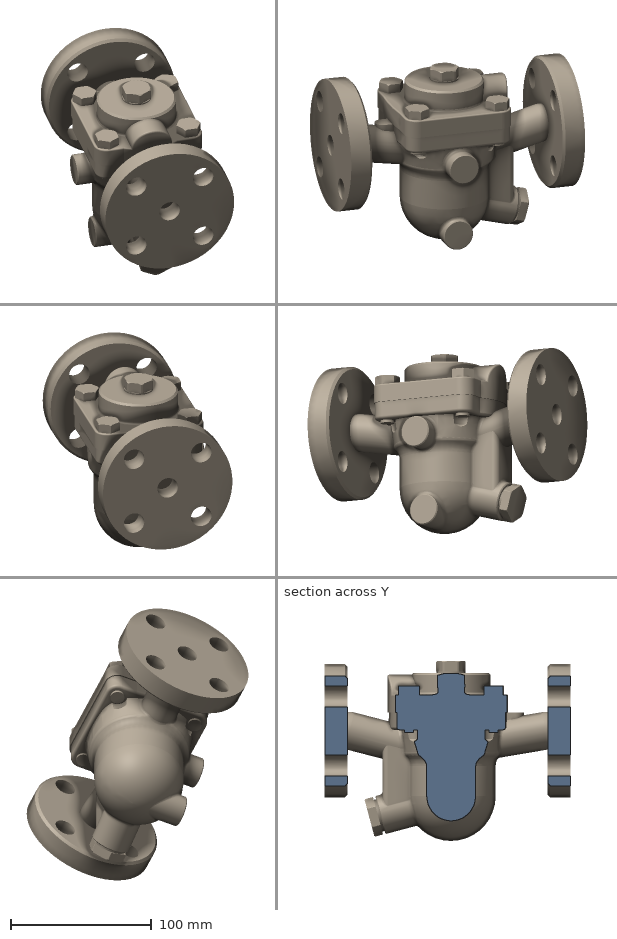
import cadquery as cq
import math

SEAM_SAMPLES = (0.1, 0.4, 0.5, 0.6, 0.9)
SEAM_TOLERANCE = 0.002


LENGTH = 175
FLANGE_DIA = 95.0
FLANGE_THICK = 16.3
FLANGE_CHAMFER = 1.8
FLANGE_HOLE_DIA = 15.0
BORE_DIA = 15.0
HOLE_SPACING = 49.4

PIPE_DIA = 27.0
PIPE_STUB = 1.5
INLET_ANGLE = 9.6
OUTLET_ANGLE = 14.5
PIPE_BLEND = 2.1

AXIS_X = -2.5
BOWL_RADIUS = 31.8
DOME_Z = -46.5
NECK_WIDTH = 71.8
NECK_CORNER = 22.8
NECK_OVERLAP = 1.8
NECK_BOTTOM_Z = -15.0
TAPER_BOTTOM_Z = -25.0
TAPER_CONVEX_RADIUS = 4.4

JOINT_Z = 13.1
BODY_FLANGE_BOTTOM_Z = 0.7
BODY_FLANGE_INSET = 0.9
BODY_FLANGE_FILLET = 2.1
PLATE_WIDTH = 79.5
PLATE_CORNER = 9.5
PLATE_TOP_Z = 25.9
PLATE_FILLET = 1.0
BOW_HALF_WIDTH = 18.7
BOW_HEIGHT = 1.0
BULGE_HALF_WIDTH = 20.0
BULGE_HEIGHT = 5.5

CAP_DIA = 56.5
CAP_TOP_Z = 41.1
CAP_CHAMFER = 1.4
CAP_BLEND = 1.5
COVER_BOSS_DIA = 30.0
COVER_BOSS_TOP_Z = 39.9
COVER_BOSS_FILLET = 1.2

PLUG_DIA = 21
PLUG_FLATS = 18.9
PLUG_NECK = 1.0
PLUG_NECK_DIA = 20.6
PLUG_TOP_Z = 49.5
BOLT_SPACING = 60.2
BOLT_DIA = 17.8
BOLT_FLATS = 15.4
BOLT_HEAD = 6.5
BOLT_SHANK_DIA = 10.0
BOLT_SHANK_END_Z = -1.2
BOLT_RELIEF_DIA = 14
BOLT_RELIEF_Z = -5.8
HEAD_CHAMFER = 0.7

PAD_DIA = 22.0
PAD_CHAMFER = 0.7
UPPER_PAD_Z = -12.0
UPPER_PAD_Y = -46.2
LOWER_PAD_Z = -66.3
LOWER_PAD_Y = -32.9
PAD_BLEND = 2.1

DRAIN_ANGLE = 15
DRAIN_DIA = 28
DRAIN_REACH = 52.0
DRAIN_CHAMFER = 0.7
DRAIN_NECK_DIA = 23.5
DRAIN_NECK = 1.8
DRAIN_HEAD_DIA = 27.6
DRAIN_HEAD_FLATS = 24.2
DRAIN_HEAD = 6.3

RIB_WIDTH = 26.2
RIB_END_X = 46.4
RIB_FILLET = 4.2
RIB_TOP_Z = -10.5
RIB_BOTTOM_Z = -53.5

LUG_WIDTH = 12.5
LUG_END_X = -54.5
LUG_BOTTOM_Z = 3.5
LUG_OVERLAP = 1.8


def cylinder(start, direction, diameter, length):
    """Cylinder from a start point along a direction."""
    return cq.Workplane(cq.Solid.makeCylinder(diameter / 2, length, cq.Vector(*start), cq.Vector(*direction)))


def hex_head(flats, diameter, height):
    """Upright hexagon head, corners trimmed to a diameter and top edge bevelled; two corners on X."""
    corners = 2 * flats / math.sqrt(3)
    trim = cq.Workplane().circle(diameter / 2).extrude(height).faces(">Z").chamfer(HEAD_CHAMFER)
    return cq.Workplane().polygon(6, corners).extrude(height).intersect(trim)


def pipe_end(side, angle):
    """Flange, and the stub and pipe sloping down to the bowl axis; side is -1 or +1 along X."""
    inner_x = LENGTH / 2 - FLANGE_THICK
    flange = cq.Workplane("YZ").circle(FLANGE_DIA / 2).extrude(FLANGE_THICK)
    flange = flange.faces("<X").edges().chamfer(FLANGE_CHAMFER)
    flange = (
        flange.faces(">X").workplane(origin=(0, 0, 0))
        .rect(HOLE_SPACING, HOLE_SPACING, forConstruction=True).vertices().hole(FLANGE_HOLE_DIA)
    )
    flange = flange.translate((inner_x, 0, 0))
    if side < 0:
        flange = flange.mirror("YZ")
    bend = (side * (inner_x - PIPE_STUB), 0, 0)
    slope = math.radians(angle)
    run = (abs(bend[0]) + side * -AXIS_X) / math.cos(slope)
    stub = cylinder(bend, (side, 0, 0), PIPE_DIA, PIPE_STUB)
    elbow = cq.Workplane().sphere(PIPE_DIA / 2).translate(bend)
    pipe = cylinder(bend, (-side * math.cos(slope), 0, -math.sin(slope)), PIPE_DIA, run)
    return flange, pipe.union(elbow).union(stub)


def bowl():
    """Neck easing from rounded square to round, S-shaped taper, cylinder and hemispherical bottom."""
    half = NECK_WIDTH / 2
    neck_height = JOINT_Z - NECK_OVERLAP - NECK_BOTTOM_Z
    square = cq.Sketch().rect(NECK_WIDTH, NECK_WIDTH).vertices().fillet(NECK_CORNER)
    neck = (
        cq.Workplane().workplane(offset=NECK_BOTTOM_Z)
        .placeSketch(cq.Sketch().circle(half), square.moved(cq.Location(cq.Vector(0, 0, neck_height))))
        .loft()
    )
    step = half - BOWL_RADIUS
    rise = NECK_BOTTOM_Z - TAPER_BOTTOM_Z
    radius_sum = (step**2 + rise**2) / (2 * step)
    convex_share = TAPER_CONVEX_RADIUS / radius_sum
    meet = (half - convex_share * step, NECK_BOTTOM_Z - convex_share * rise)
    profile = (
        cq.Workplane("XZ").moveTo(0, DOME_Z - BOWL_RADIUS)
        .radiusArc((BOWL_RADIUS, DOME_Z), -BOWL_RADIUS)
        .lineTo(BOWL_RADIUS, TAPER_BOTTOM_Z)
        .radiusArc(meet, radius_sum - TAPER_CONVEX_RADIUS)
        .radiusArc((half, NECK_BOTTOM_Z), -TAPER_CONVEX_RADIUS)
        .lineTo(0, NECK_BOTTOM_Z).close()
    )
    return profile.revolve().union(neck).rotate((0, 0, 0), (0, 0, 1), 90).translate((AXIS_X, 0, 0))


def plate(inset, bottom_z, top_z):
    """Joint plate: rounded square, bowed on the inlet side and bulged on the outlet side."""
    half = PLATE_WIDTH / 2 - inset
    height = top_z - bottom_z
    base = cq.Workplane().workplane(offset=bottom_z)
    square = (
        base.center(AXIS_X, 0).rect(2 * half, 2 * half).extrude(height)
        .edges("|Z").fillet(PLATE_CORNER - inset)
    )

    def swelling(side, half_width, swell):
        edge_x = AXIS_X + side * half
        return (
            base.moveTo(AXIS_X, -half_width).lineTo(edge_x, -half_width)
            .threePointArc((edge_x + side * swell, 0), (edge_x, half_width))
            .lineTo(AXIS_X, half_width).close().extrude(height)
        )

    bow = swelling(-1, BOW_HALF_WIDTH, BOW_HEIGHT)
    bulge = swelling(1, BULGE_HALF_WIDTH, BULGE_HEIGHT)
    return square.union(bow).union(bulge)


def cover():
    """Cover plate, round cap and the boss running from the cap to the bulge."""
    base = plate(0, JOINT_Z, PLATE_TOP_Z).faces(">Z").edges().fillet(PLATE_FILLET)
    cap = cylinder((AXIS_X, 0, JOINT_Z), (0, 0, 1), CAP_DIA, CAP_TOP_Z - JOINT_Z)
    cap = cap.faces(">Z").chamfer(CAP_CHAMFER)
    boss_z = COVER_BOSS_TOP_Z - COVER_BOSS_DIA / 2
    boss = cylinder((AXIS_X, 0, boss_z), (1, 0, 0), COVER_BOSS_DIA, PLATE_WIDTH)
    boss = boss.intersect(plate(0, JOINT_Z, CAP_TOP_Z)).faces(">X").edges().fillet(COVER_BOSS_FILLET)
    return base.union(cap).union(cap_blend()).union(boss)


def cap_blend():
    """Concave ring at the foot of the cap."""
    radius = CAP_DIA / 2
    inner = radius - CAP_BLEND
    return (
        cq.Workplane("XZ").moveTo(inner, PLATE_TOP_Z).lineTo(radius + CAP_BLEND, PLATE_TOP_Z)
        .radiusArc((radius, PLATE_TOP_Z + CAP_BLEND), CAP_BLEND)
        .lineTo(inner, PLATE_TOP_Z + CAP_BLEND).close().revolve().translate((AXIS_X, 0, 0))
    )


def pad(z, face_y):
    """Round pad from the bowl axis to a flat front face."""
    body = cylinder((AXIS_X, 0, z), (0, -1, 0), PAD_DIA, -face_y)
    return body.faces("<Y").chamfer(PAD_CHAMFER)


def along_drain(part):
    """Move an upright part so that it points out of the dome center along the drain."""
    return part.rotate((0, 0, 0), (0, 1, 0), 90 + DRAIN_ANGLE).translate((AXIS_X, 0, DOME_Z))


def drain_branch():
    """Round branch with an end chamfer."""
    branch = cq.Workplane().circle(DRAIN_DIA / 2).extrude(DRAIN_REACH).faces(">Z").chamfer(DRAIN_CHAMFER)
    return along_drain(branch)


def drain_plug():
    """Neck and hexagon head closing the drain branch; two corners of the head lie in the XZ plane."""
    neck = cylinder((0, 0, DRAIN_REACH), (0, 0, 1), DRAIN_NECK_DIA, DRAIN_NECK)
    head = hex_head(DRAIN_HEAD_FLATS, DRAIN_HEAD_DIA, DRAIN_HEAD)
    return along_drain(neck.union(head.translate((0, 0, DRAIN_REACH + DRAIN_NECK))))


def rib():
    """Upright rib with rounded outer corners, ending inside the drain branch and the outlet pipe."""
    return (
        cq.Workplane().workplane(offset=RIB_BOTTOM_Z)
        .center((AXIS_X + RIB_END_X) / 2, 0).rect(RIB_END_X - AXIS_X, RIB_WIDTH)
        .extrude(RIB_TOP_Z - RIB_BOTTOM_Z).edges("|Z and >X").fillet(RIB_FILLET)
    )


def lug():
    """Lug with a round end standing on the inlet pipe."""
    center_x = LUG_END_X + LUG_WIDTH / 2
    height = JOINT_Z - LUG_BOTTOM_Z
    round_end = cylinder((center_x, 0, LUG_BOTTOM_Z), (0, 0, 1), LUG_WIDTH, height)
    length = AXIS_X - PLATE_WIDTH / 2 + LUG_OVERLAP - center_x
    web = cq.Workplane().box(length, LUG_WIDTH, height, centered=(False, True, False))
    return web.translate((center_x, 0, LUG_BOTTOM_Z)).union(round_end)


def cover_plug():
    """Neck and hexagon head on top of the cap, two flats facing front and back."""
    neck = cylinder((AXIS_X, 0, CAP_TOP_Z), (0, 0, 1), PLUG_NECK_DIA, PLUG_NECK)
    head = hex_head(PLUG_FLATS, PLUG_DIA, PLUG_TOP_Z - CAP_TOP_Z - PLUG_NECK)
    return neck.union(head.translate((AXIS_X, 0, CAP_TOP_Z + PLUG_NECK)))


def bolt(x, y, turn):
    """Cover bolt: head on the plate and shank end showing below the joint."""
    head = hex_head(BOLT_FLATS, BOLT_DIA, BOLT_HEAD).rotate((0, 0, 0), (0, 0, 1), turn)
    shank = cylinder((x, y, BOLT_SHANK_END_Z), (0, 0, 1), BOLT_SHANK_DIA, PLATE_TOP_Z - BOLT_SHANK_END_Z)
    return shank.union(head.translate((x, y, PLATE_TOP_Z)))


def bolt_relief(x, y):
    """Round clearance with a 90 degree conical floor, cut into the neck below a bolt."""
    radius = BOLT_RELIEF_DIA / 2
    return (
        cq.Workplane("XZ").moveTo(0, BOLT_RELIEF_Z - radius).lineTo(radius, BOLT_RELIEF_Z)
        .lineTo(radius, BODY_FLANGE_BOTTOM_Z).lineTo(0, BODY_FLANGE_BOTTOM_Z).close()
        .revolve().translate((x, y, 0))
    )


def join(base, part, radius):
    """Unite two solids and round the seam between their surfaces."""
    joined = base.union(part)
    shells = (base.val().Shells()[0], part.val().Shells()[0])

    def on_seam(edge):
        points = [cq.Vertex.makeVertex(*edge.positionAt(at).toTuple()) for at in SEAM_SAMPLES]
        return all(shell.distance(point) < SEAM_TOLERANCE for shell in shells for point in points)

    seam = [edge for edge in joined.edges().vals() if on_seam(edge)]
    return joined.newObject(seam).fillet(radius)


flange_in, pipe_in = pipe_end(-1, INLET_ANGLE)
flange_out, pipe_out = pipe_end(1, OUTLET_ANGLE)
half_spacing = BOLT_SPACING / 2
bolt_places = [(x * half_spacing, y * half_spacing) for x in (-1, 1) for y in (-1, 1)]

body = join(bowl(), pad(UPPER_PAD_Z, UPPER_PAD_Y), PAD_BLEND)
body = join(body, pad(LOWER_PAD_Z, LOWER_PAD_Y), PAD_BLEND)
body = join(body, pipe_in, PIPE_BLEND)
body = join(body, drain_branch(), PIPE_BLEND)
body = join(body, rib().union(pipe_out), PIPE_BLEND)
for x, y in bolt_places:
    body = body.cut(bolt_relief(AXIS_X + x, y))
body_flange = plate(BODY_FLANGE_INSET, BODY_FLANGE_BOTTOM_Z, JOINT_Z)
body = body.union(body_flange.faces("<Z").edges().fillet(BODY_FLANGE_FILLET)).union(lug())

result = body.union(cover()).union(cover_plug()).union(drain_plug())
for x, y in bolt_places:
    turn = 30 if x == y else 0
    result = result.union(bolt(AXIS_X + x, y, turn))
result = result.union(flange_in).union(flange_out)

for side in (-1, 1):
    result = result.cut(cylinder((side * LENGTH / 2, 0, 0), (-side, 0, 0), BORE_DIA, FLANGE_THICK))